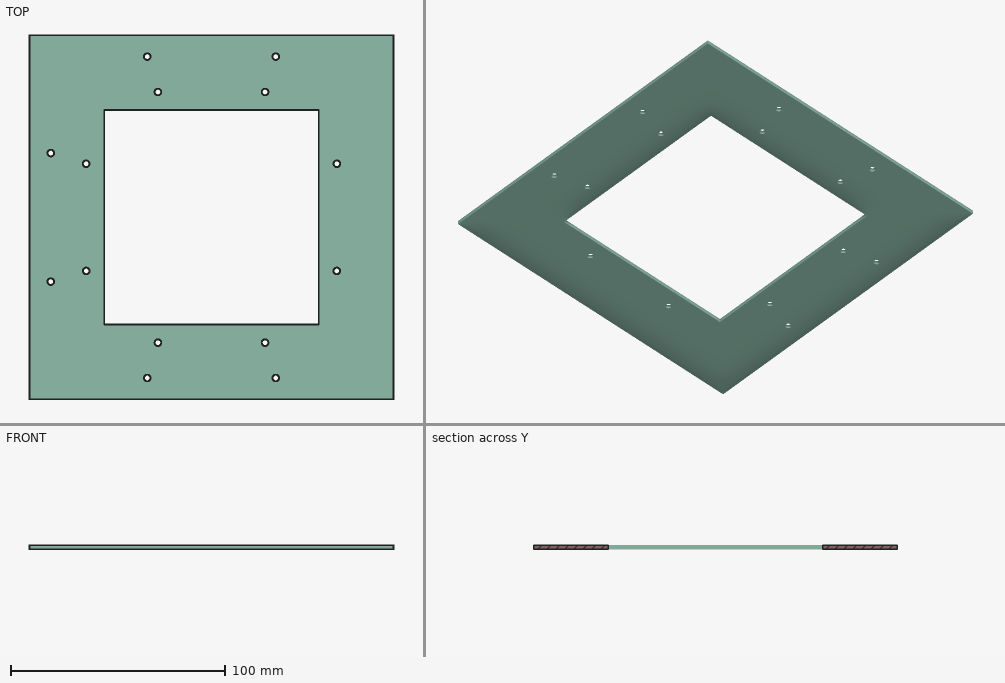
import cadquery as cq

plate_side = 170.0
plate_thickness = 2.0
window_side = 100.0

hole_diameter = 3.0
inner_offset = 58.5
inner_spacing = 50.0
outer_offset = 75.0
outer_spacing = 60.0

inner_sides = (0, 90, 180, 270)
outer_sides = (90, 180, 270)


def make_frame():
    """Flat square plate with a square window through its middle."""
    return (
        cq.Workplane("XY")
        .rect(plate_side, plate_side)
        .rect(window_side, window_side)
        .extrude(plate_thickness)
    )


def hole_pair(offset, spacing, side_angle):
    """Cutters for two through holes along the side facing side_angle."""
    half_spacing = spacing / 2
    return (
        cq.Workplane("XY")
        .pushPoints([(offset, -half_spacing), (offset, half_spacing)])
        .circle(hole_diameter / 2)
        .extrude(plate_thickness)
        .rotate((0, 0, 0), (0, 0, 1), side_angle)
    )


result = make_frame()

for angle in inner_sides:
    result = result.cut(hole_pair(inner_offset, inner_spacing, angle))

for angle in outer_sides:
    result = result.cut(hole_pair(outer_offset, outer_spacing, angle))